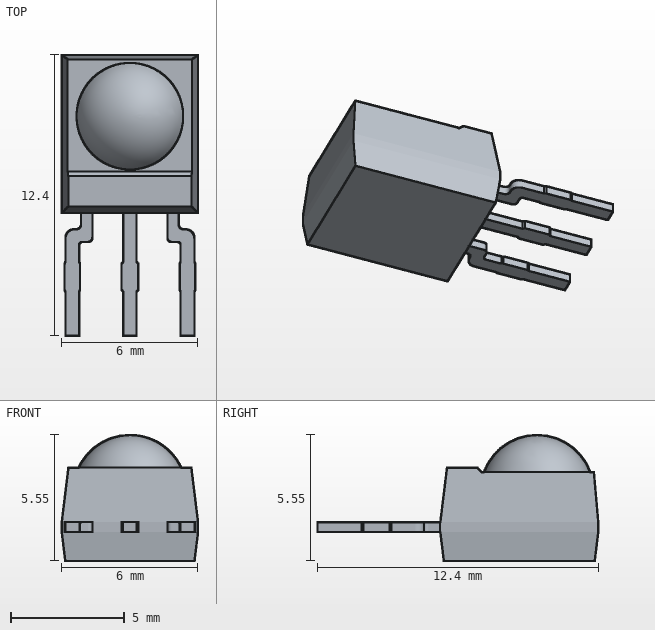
import cadquery as cq
import math

TOTAL_LENGTH = 12.35
HOUSING_WIDTH = 6.0
HOUSING_LENGTH = 6.95
TOTAL_HEIGHT = 5.55
LEAD_LENGTH = TOTAL_LENGTH - HOUSING_LENGTH

BASE_HEIGHT = 1.27
LEAD_THICKNESS = 0.43
BAND_TOP = BASE_HEIGHT + LEAD_THICKNESS
RIDGE_TOP = 4.1
ROOF_TOP = 3.9
RIDGE_BACK = 1.63
MAIN_DRAFT = 7.0
BACK_DRAFT = 5.0

LENS_RADIUS = 2.5
LENS_CENTER_Y = 4.26

CENTER_WIDTH = 0.59
CENTER_BULGE = 0.07
OUTER_WIDTH = 0.62
OUTER_BULGE = 0.04
OUTER_INSIDE_X = 2.22
BULGE_START = 2.14
BULGE_END = 3.46
BULGE_TAPER = 0.09
ROOT_INSIDE_X = 1.64
ROOT_OUTSIDE_X = 2.15
SHOULDER_FRONT = 1.27
SHOULDER_BACK = 0.7
SHOULDER_ROUND = 0.4
NECK_FILLET = 0.21
ELBOW_ROUND = 0.2
CROTCH_FILLET = 0.12


def section(z, side_inset, front_inset, back_inset):
    """Rectangular wire at height z, inset from the widest housing outline."""
    width = HOUSING_WIDTH - 2 * side_inset
    length = HOUSING_LENGTH - front_inset - back_inset
    center_y = (HOUSING_LENGTH + front_inset - back_inset) / 2
    return cq.Workplane(origin=(0, center_y, z)).rect(width, length).wires().val()


def make_base_and_band():
    inset = BASE_HEIGHT * math.tan(math.radians(MAIN_DRAFT))
    bottom = section(0, inset, inset, inset)
    parting = section(BASE_HEIGHT, 0, 0, 0)
    base = cq.Workplane(cq.Solid.makeLoft([bottom, parting], True))
    band = cq.Workplane(cq.Solid.extrudeLinear(parting, [], cq.Vector(0, 0, LEAD_THICKNESS)))
    return base.union(band)


def make_upper_block():
    rise = RIDGE_TOP - BAND_TOP
    inset = rise * math.tan(math.radians(MAIN_DRAFT))
    back_inset = rise * math.tan(math.radians(BACK_DRAFT))
    bottom = section(BAND_TOP, 0, 0, 0)
    top = section(RIDGE_TOP, inset, inset, back_inset)
    return cq.Workplane(cq.Solid.makeLoft([bottom, top], True))


def make_roof_cut():
    """Space above the lower roof, bounded in front by the 45 degree slope."""
    step = RIDGE_TOP - ROOF_TOP
    return (
        cq.Workplane("YZ")
        .moveTo(RIDGE_BACK, RIDGE_TOP)
        .lineTo(RIDGE_BACK + step, ROOF_TOP)
        .lineTo(HOUSING_LENGTH, ROOF_TOP)
        .lineTo(HOUSING_LENGTH, RIDGE_TOP)
        .close()
        .extrude(HOUSING_WIDTH / 2, both=True)
    )


def make_lens():
    cap_height = TOTAL_HEIGHT - ROOF_TOP
    center_z = TOTAL_HEIGHT - LENS_RADIUS
    rim_radius = math.sqrt(LENS_RADIUS**2 - (LENS_RADIUS - cap_height) ** 2)
    mid_angle = math.atan2(rim_radius, ROOF_TOP - center_z) / 2
    mid_point = (LENS_RADIUS * math.sin(mid_angle), center_z + LENS_RADIUS * math.cos(mid_angle))
    return (
        cq.Workplane("XZ", origin=(0, LENS_CENTER_Y, 0))
        .moveTo(0, ROOF_TOP)
        .lineTo(0, TOTAL_HEIGHT)
        .threePointArc(mid_point, (rim_radius, ROOF_TOP))
        .close()
        .revolve(360, (0, 0, 0), (0, 1, 0))
    )


def make_housing():
    upper = make_upper_block().cut(make_roof_cut())
    return make_base_and_band().union(upper).union(make_lens())


def make_bulge(center_x, width, extra):
    """Widened stretch of a lead with sloped transitions at both ends."""
    narrow = width / 2
    wide = narrow + extra
    outline = [
        (center_x - narrow, -BULGE_START),
        (center_x - wide, -BULGE_START - BULGE_TAPER),
        (center_x - wide, -BULGE_END + BULGE_TAPER),
        (center_x - narrow, -BULGE_END),
        (center_x + narrow, -BULGE_END),
        (center_x + wide, -BULGE_END + BULGE_TAPER),
        (center_x + wide, -BULGE_START - BULGE_TAPER),
        (center_x + narrow, -BULGE_START),
    ]
    return cq.Workplane(origin=(0, 0, BASE_HEIGHT)).polyline(outline).close().extrude(LEAD_THICKNESS)


def make_center_lead():
    bar = (
        cq.Workplane(origin=(0, -LEAD_LENGTH / 2, BASE_HEIGHT))
        .rect(CENTER_WIDTH, LEAD_LENGTH)
        .extrude(LEAD_THICKNESS)
    )
    return bar.union(make_bulge(0, CENTER_WIDTH, CENTER_BULGE))


def make_outer_lead(side):
    """Lead jogged away from the middle; side is -1 for -X and +1 for +X."""
    inside = side * OUTER_INSIDE_X
    outside = side * (OUTER_INSIDE_X + OUTER_WIDTH)
    root_inside = side * ROOT_INSIDE_X
    root_outside = side * ROOT_OUTSIDE_X
    outline = [
        (root_inside, 0),
        (root_inside, -SHOULDER_FRONT),
        (inside, -SHOULDER_FRONT),
        (inside, -LEAD_LENGTH),
        (outside, -LEAD_LENGTH),
        (outside, -SHOULDER_BACK),
        (root_outside, -SHOULDER_BACK),
        (root_outside, 0),
    ]
    lead = cq.Workplane(origin=(0, 0, BASE_HEIGHT)).polyline(outline).close().extrude(LEAD_THICKNESS)
    corner_rounds = [
        (root_inside, -SHOULDER_FRONT, ELBOW_ROUND),
        (inside, -SHOULDER_FRONT, CROTCH_FILLET),
        (outside, -SHOULDER_BACK, SHOULDER_ROUND),
        (root_outside, -SHOULDER_BACK, NECK_FILLET),
    ]
    for x, y, radius in corner_rounds:
        corner = cq.selectors.NearestToPointSelector((x, y, BASE_HEIGHT + LEAD_THICKNESS / 2))
        lead = lead.edges("|Z").edges(corner).fillet(radius)
    return lead.union(make_bulge((inside + outside) / 2, OUTER_WIDTH, OUTER_BULGE))


housing = make_housing()
center_lead = make_center_lead()
outer_leads = [make_outer_lead(side) for side in (-1, 1)]

result = cq.Compound.makeCompound(
    [housing.solids().val(), center_lead.solids().val(), *[lead.solids().val() for lead in outer_leads]]
)